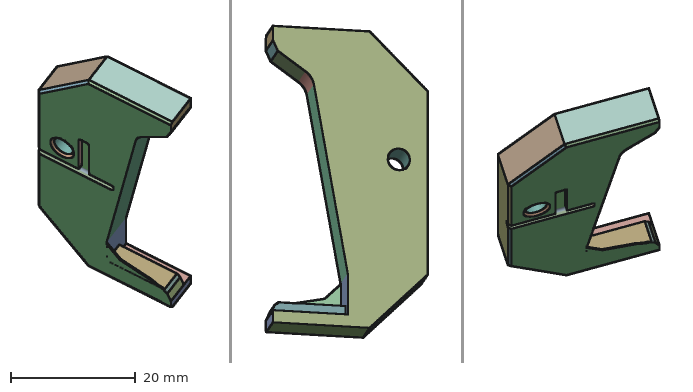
import cadquery as cq

width = 25.3
thickness = 6.0
height = 49.7
corner_cut = 9.5
edge_chamfer = 0.45

jaw_root = (18.85, 41.55)
jaw_root_radius = 6.6 / 2
lower_jaw = [
    (width, 2.05),
    (24.6, 3.6),
    (23.65, 4.3),
    (22.7, 4.4),
    (21.5, 5.0),
    (15.7, 6.25),
    (13.05, 8.85),
]
upper_jaw = [(24.5, 45.55), (width, 47.25)]

lip_thickness = 0.2
shelf_back = 3.95
shelf_z = 4.1
rear_step_z = 2.05
step_left, step_top = lower_jaw[-1]

hole_x = 4.7
hole_z = 28.55
hole_diameter = 3.6
countersink = 0.45

recess_depth = 1.05
groove_bottom = 23.9
groove_top = 25.1
groove_end = 14.4
slot_left = 7.85
slot_right = 9.8
slot_top = 33.2
recess_radius = 0.45


def front_box(x_min, x_max, z_min, z_max, depth):
    """Box reaching from the front face into the plate."""
    return cq.Workplane("XY").box(
        x_max - x_min, depth, z_max - z_min, centered=False
    ).translate((x_min, 0, z_min))


def make_plate():
    outline = [
        (corner_cut, 0),
        (width, 0),
        *lower_jaw,
        jaw_root,
        *upper_jaw,
        (width, height),
        (corner_cut, height),
        (0, height - corner_cut),
        (0, corner_cut),
    ]
    plate = cq.Workplane("XZ").polyline(outline).close().extrude(-thickness)
    root_x, root_z = jaw_root
    root_edge = cq.selectors.NearestToPointSelector((root_x, thickness / 2, root_z))
    plate = plate.edges(root_edge).fillet(jaw_root_radius)

    half_cut = corner_cut / 2
    top_middle = (corner_cut + width) / 2
    edge_middles = [
        (top_middle, 0),
        (half_cut, half_cut),
        (0, height / 2),
        (half_cut, height - half_cut),
        (top_middle, height),
    ]
    front_edges = plate.faces("<Y").edges()
    outer_edges = plate.newObject([
        front_edges.edges(cq.selectors.NearestToPointSelector((x, 0, z))).val()
        for x, z in edge_middles
    ])
    return outer_edges.chamfer(edge_chamfer)


def make_hole():
    bore = cq.Workplane("XZ").center(hole_x, hole_z).circle(hole_diameter / 2).extrude(-thickness)
    rim = cq.Solid.makeCone(
        hole_diameter / 2 + countersink,
        hole_diameter / 2,
        countersink,
        pnt=cq.Vector(hole_x, 0, hole_z),
        dir=cq.Vector(0, 1, 0),
    )
    return bore.union(cq.Workplane(rim))


def make_recess():
    groove = front_box(0, groove_end, groove_bottom, groove_top, recess_depth)
    groove = groove.edges("|Y and >X").fillet(recess_radius)
    round_depth = recess_depth - recess_radius
    round_z = groove_bottom + recess_radius
    corner = front_box(0, groove_end, groove_bottom, round_z, recess_depth)
    corner = corner.intersect(front_box(0, groove_end, groove_bottom, round_z, round_depth).union(
        cq.Workplane("YZ").center(round_depth, round_z).circle(recess_radius).extrude(groove_end)
    ))
    upper_groove = front_box(0, groove_end, round_z, groove_top, recess_depth)
    groove = groove.intersect(corner.union(upper_groove))

    slot = front_box(slot_left, slot_right, round_z, slot_top, recess_depth)
    slot = slot.edges("|Y and >Z").fillet(recess_radius)
    return groove.union(slot)


def make_jaw_steps():
    steps = cq.Workplane("XY")
    for step_front, floor_z in [(lip_thickness, shelf_z), (shelf_back, rear_step_z)]:
        step = cq.Workplane("XY").box(
            width - step_left, thickness - step_front, step_top - floor_z, centered=False
        )
        steps = steps.add(step.translate((step_left, step_front, floor_z)))
    return steps.combine()


result = make_plate().cut(make_hole()).cut(make_recess()).cut(make_jaw_steps())